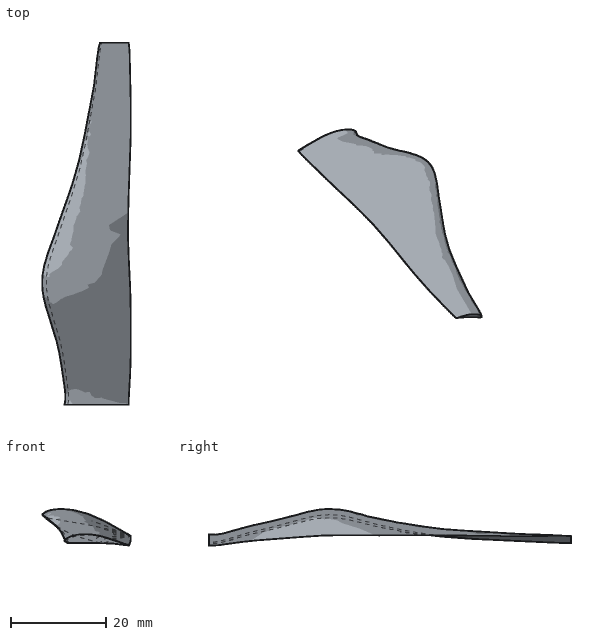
import cadquery as cq

STATIONS = [
    (0.0, 4.65, 0.8, 18.2, 0.0),
    (6.1, 4.35, 1.9, 18.5, 0.6),
    (12.2, 3.3, 3.4, 18.7, 1.2),
    (18.3, 1.45, 5.0, 18.7, 1.7),
    (25.4, -0.1, 6.25, 18.5, 2.1),
    (31.25, 0.9, 5.3, 18.2, 2.1),
    (37.3, 3.1, 3.8, 18.05, 2.1),
    (44.2, 5.6, 2.5, 18.2, 2.1),
    (50.9, 7.6, 1.75, 18.45, 2.05),
    (57.15, 9.0, 1.3, 18.7, 2.05),
    (63.25, 10.2, 1.0, 18.7, 2.0),
    (70.1, 11.3, 0.7, 18.5, 2.0),
    (76.2, 12.2, 0.45, 18.2, 1.9),
]

UPPER_POINTS = [(0.0, 0.015), (0.03, 0.05), (0.15, 0.11), (0.4, 0.14), (0.7, 0.09), (1.0, 0.0)]
LOWER_POINTS = [(1.0, 0.0), (0.75, 0.018), (0.4, 0.01), (0.05, -0.008)]


def blade_section(span, lead_x, lead_z, trail_x, trail_z):
    """Closed aerofoil wire, scaled and tilted to join the two edge points."""
    run = trail_x - lead_x
    rise = trail_z - lead_z

    def place(point):
        along, above = point
        return cq.Vector(
            lead_x + along * run - above * rise,
            span,
            lead_z + along * rise + above * run,
        )

    upper = cq.Edge.makeSpline([place(p) for p in UPPER_POINTS])
    lower = cq.Edge.makeSpline([place(p) for p in LOWER_POINTS])
    nose = cq.Edge.makeLine(place(LOWER_POINTS[-1]), place(UPPER_POINTS[0]))
    return cq.Wire.assembleEdges([upper, lower, nose])


sections = [blade_section(*station) for station in STATIONS]
result = cq.Workplane(obj=cq.Solid.makeLoft(sections))